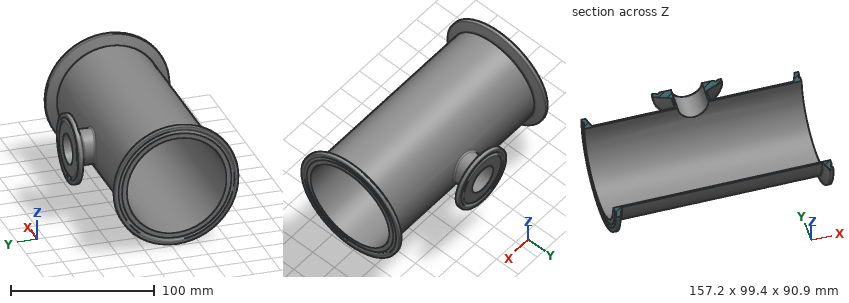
import cadquery as cq
import math

RUN_LENGTH = 157.18
RUN_OUTER_RADIUS = 76.2 / 2
RUN_BORE_RADIUS = 72.9 / 2
RUN_FLANGE_RADIUS = 90.91 / 2
RUN_RIM_THICKNESS = 3.0

OVERALL_WIDTH = 99.43
BRANCH_REACH = OVERALL_WIDTH - RUN_FLANGE_RADIUS
BRANCH_OUTER_RADIUS = 25.4 / 2
BRANCH_BORE_RADIUS = 22.1 / 2
BRANCH_FLANGE_RADIUS = 50.39 / 2
BRANCH_RIM_THICKNESS = 3.2
BRANCH_BLEND_RADIUS = 1.2

FLANGE_BACK_ANGLE = math.radians(20)
RIM_ROUND = 0.45
NECK_ROUND = 0.8
GROOVE_OUTER_INSET = 2.8
GROOVE_WIDTH = 2.67
GROOVE_DEPTH = 1.0
GROOVE_OUTER_ROUND = 0.8
GROOVE_INNER_ROUND = 0.3

SELECTION_MARGIN = 0.01


def round_ring(body, radius, height, round_radius):
    """Fillet the one circular edge of this radius, centred on Z at this height."""
    def ring_box(half_size):
        return cq.selectors.BoxSelector(
            (-half_size, -half_size, height - SELECTION_MARGIN),
            (half_size, half_size, height + SELECTION_MARGIN),
            boundingbox=True,
        )

    ring = ring_box(radius + SELECTION_MARGIN) - ring_box(radius - SELECTION_MARGIN)
    return body.edges(ring).fillet(round_radius)


def ferrule(flange_radius, tube_radius, rim_thickness, length):
    """Solid ferrule with its sealing face on the XY plane and its tube running toward +Z."""
    back_depth = rim_thickness + (flange_radius - tube_radius) * math.tan(FLANGE_BACK_ANGLE)
    body = (
        cq.Workplane("XZ")
        .moveTo(0, 0)
        .lineTo(flange_radius, 0)
        .lineTo(flange_radius, rim_thickness)
        .lineTo(tube_radius, back_depth)
        .lineTo(tube_radius, length)
        .lineTo(0, length)
        .close()
        .revolve(360, (0, 0, 0), (0, 1, 0))
    )

    body = round_ring(body, tube_radius, back_depth, NECK_ROUND)
    body = round_ring(body, flange_radius, 0, RIM_ROUND)
    body = round_ring(body, flange_radius, rim_thickness, RIM_ROUND)

    groove_outer_radius = flange_radius - GROOVE_OUTER_INSET
    groove_inner_radius = groove_outer_radius - GROOVE_WIDTH
    body = body.cut(gasket_groove(groove_inner_radius, groove_outer_radius))
    body = round_ring(body, groove_outer_radius, 0, GROOVE_OUTER_ROUND)
    return round_ring(body, groove_inner_radius, 0, GROOVE_INNER_ROUND)


def gasket_groove(inner_radius, outer_radius):
    """Shallow ring with an arc-shaped section, sunk into the sealing face."""
    middle_radius = (outer_radius + inner_radius) / 2
    return (
        cq.Workplane("XZ")
        .moveTo(inner_radius, 0)
        .threePointArc((middle_radius, GROOVE_DEPTH), (outer_radius, 0))
        .close()
        .revolve(360, (0, 0, 0), (0, 1, 0))
    )


def run_body():
    """Outside of the main run: two mirrored halves meeting at X = 0."""
    half_length = RUN_LENGTH / 2
    half = (
        ferrule(RUN_FLANGE_RADIUS, RUN_OUTER_RADIUS, RUN_RIM_THICKNESS, half_length)
        .rotate((0, 0, 0), (0, 1, 0), 90)
        .translate((-half_length, 0, 0))
    )
    return half.union(half.mirror("YZ")).clean()


def branch_body():
    """Outside of the branch, from the run's axis out to its sealing face."""
    return (
        ferrule(BRANCH_FLANGE_RADIUS, BRANCH_OUTER_RADIUS, BRANCH_RIM_THICKNESS, BRANCH_REACH)
        .rotate((0, 0, 0), (1, 0, 0), 90)
        .translate((0, BRANCH_REACH, 0))
    )


def blend_branch(body):
    """Round the saddle-shaped corner where the branch meets the run."""
    half_width = BRANCH_OUTER_RADIUS + SELECTION_MARGIN
    saddle_low = math.sqrt(RUN_OUTER_RADIUS**2 - BRANCH_OUTER_RADIUS**2)
    saddle = cq.selectors.BoxSelector(
        (-half_width, saddle_low - SELECTION_MARGIN, -half_width),
        (half_width, RUN_OUTER_RADIUS + SELECTION_MARGIN, half_width),
        boundingbox=True,
    )
    return body.edges(saddle).fillet(BRANCH_BLEND_RADIUS)


def bores():
    """Through bore of the run and the branch bore that opens into it."""
    run_bore = cq.Workplane("YZ").circle(RUN_BORE_RADIUS).extrude(RUN_LENGTH / 2, both=True)
    branch_bore = cq.Workplane("XZ").circle(BRANCH_BORE_RADIUS).extrude(-BRANCH_REACH)
    return run_bore.union(branch_bore)


result = blend_branch(run_body().union(branch_body())).cut(bores())